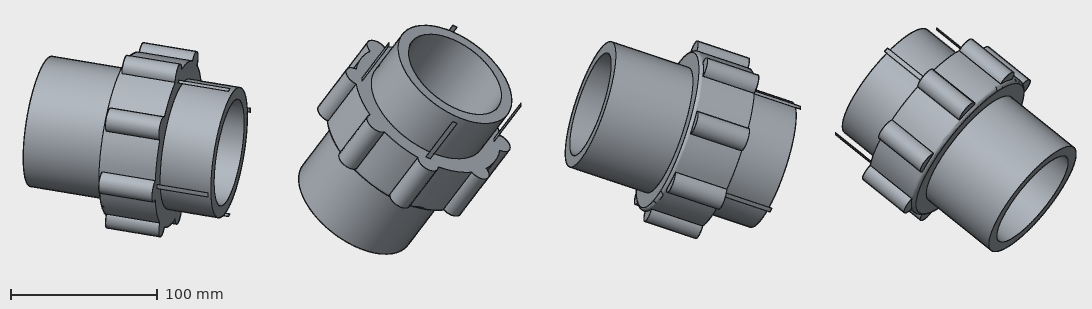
import cadquery as cq
import math

length = 133.0
pipe_radius = 90.0 / 2
bore_radius = 73.5 / 2

nut_start = 56.8
nut_end = 97.1
nut_radius = 57.5
nut_face_radius = 55.6
nut_edge_radius = 2.8

lug_count = 8
lug_start = 59.3
lug_radius = 8.1
lug_tip_radius = 130.0 / 2
lug_centre_radius = lug_tip_radius - lug_radius

strip_count = 4
strip_outer_radius = 104.3 / 2
strip_width = 3.5


def cylinder_along_x(radius, start, end):
    return cq.Workplane("YZ", origin=(start, 0, 0)).circle(radius).extrude(end - start)


def around_axis(body, count):
    """Copies of a body evenly spaced about the X axis."""
    return [body.rotate((0, 0, 0), (1, 0, 0), i * 360 / count) for i in range(count)]


def make_nut():
    """Nut body turned about X, with a rounded leading edge."""
    profile = (
        cq.Workplane("XY")
        .moveTo(nut_start, 0)
        .lineTo(nut_start, nut_face_radius)
        .radiusArc((lug_start, nut_radius), nut_edge_radius)
        .lineTo(nut_end, nut_radius)
        .lineTo(nut_end, 0)
        .close()
    )
    return profile.revolve(360, (0, 0, 0), (1, 0, 0))


def make_lug():
    lug = cylinder_along_x(lug_radius, lug_start, nut_end)
    return lug.translate((0, 0, lug_centre_radius))


def make_strip():
    """A sliver between a circle and its chord, starting inside the nut so the two join."""
    half_width = strip_width / 2
    chord_height = math.sqrt(strip_outer_radius**2 - half_width**2)
    return (
        cq.Workplane("YZ", origin=(lug_start, 0, 0))
        .moveTo(-half_width, chord_height)
        .threePointArc((0, strip_outer_radius), (half_width, chord_height))
        .close()
        .extrude(length - lug_start)
    )


result = cylinder_along_x(pipe_radius, 0, length).union(make_nut())
for lug in around_axis(make_lug(), lug_count):
    result = result.union(lug)
for strip in around_axis(make_strip(), strip_count):
    result = result.union(strip)
result = result.cut(cylinder_along_x(bore_radius, 0, length))